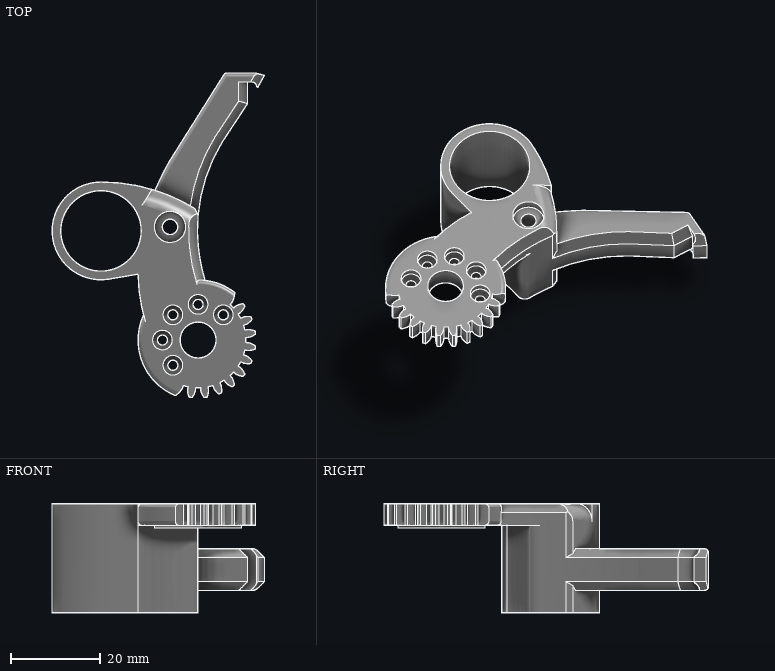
import cadquery as cq
import math

height = 24.5
cut_margin = 0.5
plate_thickness = 4.9
plate_bottom = height - plate_thickness

ring_x, ring_y = -21.8, 24.5
ring_radius = 11.0
ring_bore_radius = 9.0

crown_radius = 40.0
crown_x, crown_y = ring_x, ring_y + ring_radius - crown_radius
heel_radius = 20.0
heel_x = -13.5
heel_y = math.sqrt(heel_radius**2 - heel_x**2)
palm_start = (1.43, 13.9)
palm_middle = (-0.11, 25.43)
palm_end = (5.45, 44.46)
palm_foot_y = 12.0
link_middle = (-13.14, 10.0)
link_end = (-11.75, 4.0)

body_corner_radius = 2.0
edge_chamfer = 2.0
corner_chamfer = 1.0
crown_round = 4.0
notch_gap = 0.6

gear_module = 1.0
tooth_count = 24
pressure_angle = math.radians(20)
first_tooth, last_tooth = -6.5, 2.5
pitch_radius = gear_module * tooth_count / 2
tip_radius = pitch_radius + gear_module
dedendum_factor = 1.25
root_radius = pitch_radius - dedendum_factor * gear_module
base_radius = pitch_radius * math.cos(pressure_angle)
tooth_pitch = 2 * math.pi / tooth_count
flank_steps = 6

rim_radius = 13.5
rim_fillet = 1.0
rim_margin = 0.1
gear_bore_radius = 4.0
pad_radius = 9.8
pad_thickness = 0.6

gear_screw_circle = 8.0
gear_screw_angles = (45, 90, 135, 180, 225)
gear_screw_radius = 1.1
gear_head_radius = 2.2
gear_head_depth = 1.8
pivot_x, pivot_y = -6.3, 25.4
pivot_radius = 1.7
pivot_head_radius = 3.5
pivot_head_depth = 2.4

finger_bottom, finger_top = 5.0, 14.4
finger_fillet = 1.0
finger_root_left = (-11.0, 30.5)
finger_root_right_y = 26.5
finger_side_start = (-9.6, 33.85)
finger_side_bend = (-6.6, 39.9)
finger_back_y = 60.0
finger_back_left = (6.03, finger_back_y)
finger_back_right = (12.7, finger_back_y)
finger_tip = (14.91, 59.44)
barb_tip = (13.4, 56.7)
pocket_x = 11.12
pocket_y = 57.9
pocket_bottom = 53.06
pocket_corner = 1.0
barb_x = 13.1


def circle_through(a, b, c):
    """Centre and radius of the circle through three points."""
    bx, by, cx, cy = b[0] - a[0], b[1] - a[1], c[0] - a[0], c[1] - a[1]
    d = 2 * (bx * cy - by * cx)
    ux = (cy * (bx * bx + by * by) - by * (cx * cx + cy * cy)) / d
    uy = (bx * (cx * cx + cy * cy) - cx * (bx * bx + by * by)) / d
    return a[0] + ux, a[1] + uy, math.hypot(ux, uy)


def polar(radius, angle, centre=(0, 0)):
    """Point at a radius and an angle in radians from a centre."""
    return centre[0] + radius * math.cos(angle), centre[1] + radius * math.sin(angle)


def circles_meet(c1, r1, c2, r2, side):
    """One of the two crossings of two circles; side is +1 or -1."""
    dx, dy = c2[0] - c1[0], c2[1] - c1[1]
    distance = math.hypot(dx, dy)
    offset = math.acos((r1**2 + distance**2 - r2**2) / (2 * r1 * distance))
    return polar(r1, math.atan2(dy, dx) + side * offset, c1)


def nearest(*points):
    """Selector for the edges whose centres lie nearest to the points."""
    selector = cq.selectors.NearestToPointSelector(points[0])
    for point in points[1:]:
        selector = selector + cq.selectors.NearestToPointSelector(point)
    return selector


palm_x, palm_y, palm_radius = circle_through(palm_start, palm_middle, palm_end)


def palm_point(y):
    """Point of the palm face at the given Y."""
    return palm_x - math.sqrt(palm_radius**2 - (y - palm_y)**2), y


crown_corner = circles_meet((crown_x, crown_y), crown_radius, (palm_x, palm_y), palm_radius, 1)
heel_corner = circles_meet((0, 0), heel_radius, (palm_x, palm_y), palm_radius, 1)


def ring_tangent():
    """Point where the straight face from the heel touches the underside of the ring."""
    dx, dy = heel_x - ring_x, heel_y - ring_y
    angle = math.atan2(dy, dx) - math.acos(ring_radius / math.hypot(dx, dy))
    return polar(ring_radius, angle, (ring_x, ring_y))


def ring_and_crown():
    """Outline from the heel round the ring and along the crown to its corner."""
    crown_angle = math.atan2(crown_corner[1] - crown_y, crown_corner[0] - crown_x)
    crown_middle = polar(crown_radius, (crown_angle + math.pi / 2) / 2, (crown_x, crown_y))
    return (cq.Workplane("XY").moveTo(heel_x, heel_y)
            .lineTo(*ring_tangent())
            .threePointArc((ring_x - ring_radius, ring_y), (ring_x, ring_y + ring_radius))
            .threePointArc(crown_middle, crown_corner))


def lower_body():
    """Tall part below the link plate, solid around the ring bore."""
    heel_angle = (math.atan2(heel_y, heel_x) + math.atan2(heel_corner[1], heel_corner[0])) / 2
    body = (ring_and_crown()
            .threePointArc(palm_point((crown_corner[1] + heel_corner[1]) / 2), heel_corner)
            .threePointArc(polar(heel_radius, heel_angle), (heel_x, heel_y))
            .close().extrude(plate_bottom))
    corner = cq.selectors.NearestToPointSelector((*heel_corner, plate_bottom / 2))
    return body.edges(corner).fillet(body_corner_radius)


def link_plate():
    """Plate at the top that covers the body and reaches into the gear."""
    return (ring_and_crown()
            .threePointArc(palm_point((crown_corner[1] + palm_start[1]) / 2), palm_point(palm_foot_y))
            .lineTo(*link_end)
            .threePointArc(link_middle, (heel_x, heel_y))
            .close().extrude(plate_thickness)
            .translate((0, 0, plate_bottom)))


def crown_rounding():
    """Material to remove so that the crown's top edge is rounded beside the finger."""
    inner = crown_radius - crown_round
    outer = crown_radius + cut_margin
    low = height - crown_round
    diagonal = crown_round * math.sqrt(0.5)
    ring = (cq.Workplane("XZ").moveTo(inner, height)
            .threePointArc((inner + diagonal, low + diagonal), (crown_radius, low))
            .lineTo(outer, low).lineTo(outer, height + cut_margin).lineTo(inner, height + cut_margin)
            .close().revolve(360, (0, 0), (0, 1))
            .translate((crown_x, crown_y, 0)))
    side_x = finger_back_left[0] - finger_side_bend[0]
    side_y = finger_back_left[1] - finger_side_bend[1]
    length = math.hypot(side_x, side_y)
    turn = math.degrees(math.atan2(side_y, side_x))
    wall_x = finger_side_start[0] - notch_gap * side_y / length
    wall_y = finger_side_start[1] + notch_gap * side_x / length
    window = (cq.Workplane("XY").box(crown_radius, crown_radius, height, centered=(True, False, False))
              .translate((0, -crown_radius, cut_margin)).rotate((0, 0, 0), (0, 0, 1), turn)
              .translate((wall_x, wall_y, 0)))
    return ring.intersect(window)


def body_with_plate():
    """Body and plate, with the palm edge, the outer corner and the crown eased."""
    body = lower_body().union(link_plate())
    top_edge = (*palm_point((crown_corner[1] + palm_foot_y) / 2), height)
    body = body.edges(nearest(top_edge)).chamfer(edge_chamfer)
    corner_edge = (*crown_corner, height / 2)
    body = body.edges(nearest(corner_edge)).chamfer(corner_chamfer)
    return body.cut(crown_rounding())


def involute(angle):
    return math.tan(angle) - angle


def half_tooth_angle(radius):
    """Half the angle a tooth spans at a radius on its involute flank."""
    roll = math.acos(base_radius / radius)
    return tooth_pitch / 4 + involute(pressure_angle) - involute(roll)


def flank(centre_angle, side, end_radius):
    """Points on one flank of a tooth, from the root to the given radius."""
    points = [polar(root_radius - cut_margin, centre_angle + side * half_tooth_angle(base_radius))]
    for step in range(flank_steps + 1):
        radius = base_radius + (end_radius - base_radius) * step / flank_steps
        points.append(polar(radius, centre_angle + side * half_tooth_angle(radius)))
    return points


def flanked_prism(start_angle, start_side, end_angle, end_side, radius):
    """Prism between two tooth flanks and an outer arc, as thick as the plate."""
    start = flank(start_angle, start_side, radius)
    end = flank(end_angle, end_side, radius)[::-1]
    middle = polar(radius, (start_angle + end_angle) / 2)
    return (cq.Workplane("XY").moveTo(*start[0]).lineTo(*start[1])
            .spline(start[2:], includeCurrent=True)
            .threePointArc(middle, end[0])
            .spline(end[1:-1], includeCurrent=True)
            .lineTo(*end[-1]).lineTo(0, 0).close()
            .extrude(plate_thickness))


def gear():
    """Toothed sector, rounded rim over the rest of the turn and a thin pad underneath."""
    rim_disc = (cq.Workplane("XY").circle(rim_radius).extrude(plate_thickness)
                .edges().fillet(rim_fillet))
    rim_start = (last_tooth + 1) * tooth_pitch
    rim_end = (first_tooth - 1) * tooth_pitch + 2 * math.pi
    solid = rim_disc.intersect(flanked_prism(rim_start, -1, rim_end, 1, rim_radius + rim_margin))
    solid = solid.union(cq.Workplane("XY").circle(root_radius).extrude(plate_thickness))
    for number in range(round(last_tooth - first_tooth) + 1):
        angle = (first_tooth + number) * tooth_pitch
        solid = solid.union(flanked_prism(angle, -1, angle, 1, tip_radius))
    pad = cq.Workplane("XY").circle(pad_radius).extrude(-pad_thickness)
    return solid.union(pad).translate((0, 0, plate_bottom))


def midpoint(a, b):
    return (a[0] + b[0]) / 2, (a[1] + b[1]) / 2


def both_faces(*points):
    """The points placed on the top and on the bottom face of the finger."""
    return [(x, y, z) for x, y in points for z in (finger_bottom, finger_top)]


def finger():
    """Hooked finger: chamfered on the palm side and tip, rounded on the back."""
    fillet_centre = (barb_x - pocket_corner, pocket_y - pocket_corner)
    root_right = palm_point(finger_root_right_y)
    palm_turn = palm_point((palm_end[1] + root_right[1]) / 2)
    pocket_foot = (pocket_x, pocket_bottom)
    pocket_top = (pocket_x, pocket_y)
    solid = (cq.Workplane("XY").moveTo(*finger_root_left)
             .threePointArc(finger_side_start, finger_side_bend)
             .lineTo(*finger_back_left)
             .lineTo(*finger_back_right)
             .lineTo(*finger_tip)
             .lineTo(*barb_tip)
             .lineTo(barb_x, fillet_centre[1])
             .threePointArc(polar(pocket_corner, math.pi / 4, fillet_centre),
                            (fillet_centre[0], pocket_y))
             .lineTo(*pocket_top)
             .lineTo(*pocket_foot)
             .lineTo(*palm_end)
             .threePointArc(palm_turn, root_right)
             .close().extrude(finger_top - finger_bottom)
             .translate((0, 0, finger_bottom)))
    palm_edges = both_faces(palm_turn, midpoint(palm_end, pocket_foot), midpoint(pocket_foot, pocket_top))
    solid = solid.edges(nearest(*palm_edges)).chamfer(edge_chamfer)
    tip_edges = both_faces(midpoint(finger_tip, barb_tip))
    solid = solid.edges(nearest(*tip_edges)).chamfer(edge_chamfer)
    back_corner = (*finger_back_left, (finger_bottom + finger_top) / 2)
    solid = solid.edges(nearest(back_corner)).fillet(finger_fillet)
    back_edges = both_faces(finger_side_start,
                            midpoint(finger_side_bend, finger_back_left),
                            midpoint(finger_back_left, finger_back_right))
    return solid.edges(nearest(*back_edges)).fillet(finger_fillet)


def hole(x, y, radius, bottom=0):
    """Cutter for a round hole from the given level up to the top face."""
    return cq.Workplane("XY").circle(radius).extrude(height - bottom).translate((x, y, bottom))


def gear_screw_hole(x, y):
    """Cutter for a screw hole with a 90 degree countersink below a straight head bore."""
    cone_depth = gear_head_radius - gear_screw_radius
    return (cq.Workplane("XZ").moveTo(0, 0).lineTo(gear_screw_radius, 0)
            .lineTo(gear_screw_radius, height - gear_head_depth - cone_depth)
            .lineTo(gear_head_radius, height - gear_head_depth)
            .lineTo(gear_head_radius, height).lineTo(0, height).close()
            .revolve(360, (0, 0), (0, 1)).translate((x, y, 0)))


result = body_with_plate().union(gear()).union(finger())
result = result.cut(hole(ring_x, ring_y, ring_bore_radius))
result = result.cut(hole(0, 0, gear_bore_radius))
result = result.cut(hole(pivot_x, pivot_y, pivot_radius))
result = result.cut(hole(pivot_x, pivot_y, pivot_head_radius, height - pivot_head_depth))
for degrees in gear_screw_angles:
    result = result.cut(gear_screw_hole(*polar(gear_screw_circle, math.radians(degrees))))